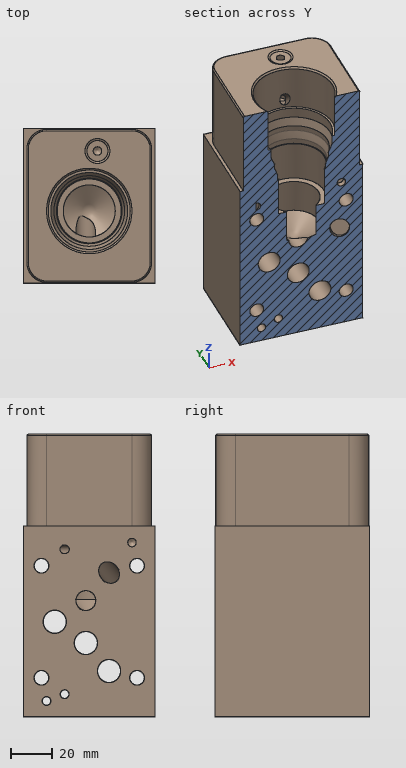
import cadquery as cq
import math

BLOCK_X = 63.5
BLOCK_Y = 74.7
BLOCK_Z = 92.2
TOTAL_Z = 136.5
TOWER_X = 60.2
TOWER_Y = 73.9
TOWER_CORNER_R = 9.5
TOWER_CHAMFER = 0.7
FRONT_Y = -BLOCK_Y / 2

DOWN = (0, 0, -1)
INWARD = (0, 1, 0)

CAVITY_Y = -2.5
CAVITY_CHAMFER = 0.8
MOUTH_R = 19.8
MOUTH_DEPTH = 23.3
SEAT_R = 18.5
MIDDLE_R = 17.0
LOWER_R = 15.8
GUIDE_R = 15.4
NOSE_R = 12.5
SEAT_DEPTH = 28.7
MIDDLE_DEPTH = 35.5
LEAD_LENGTH = 4.1
GUIDE_DEPTH = 42.3
SHELF_DEPTH = 62.8
NOSE_DEPTH = 80.0
DRILL_TIP_ANGLE = 120.0

PATTERN_Z = 45.9
BOLT_X = 23.1
BOLT_Z_OFFSET = 27.0
BOLT_D = 7.0
PORT_D = 11.0
PRESSURE_X = -1.6
PRESSURE_Z_OFFSET = 10.2
TANK_X = 9.5
TANK_Z_OFFSET = 23.8
SIDE_PORT_X = -16.7
PILOT_D = 4.1
PILOT_X = -11.9
PILOT_Z_OFFSET = 35.0
DRAIN_X = 20.6
DRAIN_Z_OFFSET = 38.2
DRAIN_DEPTH = 27.3
PRESSURE_D = 9.5
TANK_D = 9.3
TANK_TILT = 33.0
TANK_LEAN = 39.0
TANK_DEPTH = 34.1
PILOT_TILT = 25.0
PILOT_DEPTH = 27.3

GAUGE_X = 4.0
GAUGE_Y = 26.5
PLUG_R = 5.0
PLUG_LENGTH = 12.3
PORT_RIM_R = 6.0
PLUG_RECESS = 0.4
PLUG_HOLE_D = 4.1
PLUG_HOLE_DEPTH = 5.5
CROSS_D = 5.0
CROSS_DEPTH = 18.5
CROSS_TILT = 40.0


def tip_height(radius):
    """Height of a conical drill tip of the given radius."""
    return radius / math.tan(math.radians(DRILL_TIP_ANGLE / 2))


def drilling(start, direction, diameter, length):
    """Flat-ended cylinder running from start along direction."""
    return cq.Solid.makeCylinder(diameter / 2, length, cq.Vector(*start), cq.Vector(*direction))


def blind_drilling(start, direction, diameter, length):
    """Cylinder with a conical drill tip beyond its length."""
    radius = diameter / 2
    axis = cq.Vector(*direction).normalized()
    tip_base = cq.Vector(*start) + axis * length
    tip = cq.Solid.makeCone(radius, 0, tip_height(radius), tip_base, axis)
    return drilling(start, direction, diameter, length).fuse(tip)


def outer_shape():
    block = cq.Workplane("XY").box(BLOCK_X, BLOCK_Y, BLOCK_Z, centered=(True, True, False))
    tower = (
        cq.Workplane("XY")
        .workplane(offset=BLOCK_Z)
        .rect(TOWER_X, TOWER_Y)
        .extrude(TOTAL_Z - BLOCK_Z)
        .edges("|Z")
        .fillet(TOWER_CORNER_R)
        .faces(">Z")
        .chamfer(TOWER_CHAMFER)
    )
    return block.union(tower)


def cavity():
    """Half profile as (radius, depth) points, turned about the cavity axis."""
    profile = [
        (0, 0),
        (MOUTH_R + CAVITY_CHAMFER, 0),
        (MOUTH_R, CAVITY_CHAMFER),
        (MOUTH_R, MOUTH_DEPTH),
        (SEAT_R, MOUTH_DEPTH),
        (SEAT_R, SEAT_DEPTH),
        (MIDDLE_R, SEAT_DEPTH + LEAD_LENGTH),
        (MIDDLE_R, MIDDLE_DEPTH),
        (LOWER_R, MIDDLE_DEPTH + LEAD_LENGTH),
        (LOWER_R, GUIDE_DEPTH),
        (GUIDE_R, GUIDE_DEPTH),
        (GUIDE_R, SHELF_DEPTH),
        (NOSE_R, SHELF_DEPTH),
        (NOSE_R, NOSE_DEPTH),
        (0, NOSE_DEPTH + tip_height(NOSE_R)),
    ]
    return (
        cq.Workplane("XZ", origin=(0, CAVITY_Y, TOTAL_Z))
        .polyline([(radius, -depth) for radius, depth in profile])
        .close()
        .revolve(360, (0, 0, 0), (0, 1, 0))
    )


def through_holes():
    """Mounting holes and ports that run straight through from front to back."""
    holes = [(x, PATTERN_Z + dz, BOLT_D) for x in (-BOLT_X, BOLT_X) for dz in (-BOLT_Z_OFFSET, BOLT_Z_OFFSET)]
    holes += [
        (SIDE_PORT_X, PATTERN_Z, PORT_D),
        (PRESSURE_X, PATTERN_Z - PRESSURE_Z_OFFSET, PORT_D),
        (TANK_X, PATTERN_Z - TANK_Z_OFFSET, PORT_D),
        (PILOT_X, PATTERN_Z - PILOT_Z_OFFSET, PILOT_D),
        (-DRAIN_X, PATTERN_Z - DRAIN_Z_OFFSET, PILOT_D),
    ]
    return [drilling((x, FRONT_Y, z), INWARD, diameter, BLOCK_Y) for x, z, diameter in holes]


def pressure_drilling():
    """Straight drilling from the front face to the cavity axis, opening into the nose cone."""
    start = (PRESSURE_X, FRONT_Y, PATTERN_Z + PRESSURE_Z_OFFSET)
    return drilling(start, INWARD, PRESSURE_D, CAVITY_Y - FRONT_Y)


def tilted_drilling(x, z, direction, diameter, depth):
    """Tilted drilling through the front face, begun one diameter outside so that it cuts a full ellipse."""
    axis = cq.Vector(*direction)
    start = cq.Vector(x, FRONT_Y, z) - axis * diameter
    return drilling(start.toTuple(), direction, diameter, depth + diameter)


def tank_drilling():
    """Drilling that descends from the front face towards +X."""
    tilt = math.radians(TANK_TILT)
    lean = math.radians(TANK_LEAN)
    direction = (math.sin(tilt) * math.sin(lean), math.cos(tilt), -math.sin(tilt) * math.cos(lean))
    return tilted_drilling(TANK_X, PATTERN_Z + TANK_Z_OFFSET, direction, TANK_D, TANK_DEPTH)


def pilot_drilling():
    """Blind drilling that leans towards -X."""
    tilt = math.radians(PILOT_TILT)
    direction = (-math.sin(tilt), math.cos(tilt), 0)
    return tilted_drilling(PILOT_X, PATTERN_Z + PILOT_Z_OFFSET, direction, PILOT_D, PILOT_DEPTH)


def drain_drilling():
    """Straight blind drilling with a conical end."""
    start = (DRAIN_X, FRONT_Y, PATTERN_Z + DRAIN_Z_OFFSET)
    return blind_drilling(start, INWARD, PILOT_D, DRAIN_DEPTH)


def cross_passage():
    """Passage that falls from the cavity mouth wall to the gauge port axis, started one diameter early."""
    run = cq.Vector(GAUGE_X, GAUGE_Y - CAVITY_Y, 0)
    opening = cq.Vector(0, CAVITY_Y, TOTAL_Z - CROSS_DEPTH) + run.normalized() * MOUTH_R
    level_length = run.Length - MOUTH_R
    direction = run.normalized() - cq.Vector(0, 0, math.tan(math.radians(CROSS_TILT)))
    start = opening - direction.normalized() * CROSS_D
    return drilling(start.toTuple(), direction.toTuple(), CROSS_D, level_length * direction.Length + CROSS_D)


def gauge_port():
    """Chamfered plug seat, and a narrower drilling below it that reaches the cross passage."""
    top = (GAUGE_X, GAUGE_Y, TOTAL_Z)
    cross_drop = (math.hypot(GAUGE_X, GAUGE_Y - CAVITY_Y) - MOUTH_R) * math.tan(math.radians(CROSS_TILT))
    chamfer = cq.Solid.makeCone(PORT_RIM_R, PLUG_R, PLUG_RECESS, cq.Vector(*top), cq.Vector(*DOWN))
    seat = drilling(top, DOWN, 2 * PLUG_R, PLUG_RECESS + PLUG_LENGTH)
    shaft = drilling(top, DOWN, CROSS_D, CROSS_DEPTH + cross_drop)
    return [chamfer, seat, shaft]


def make_manifold():
    cuts = [
        *through_holes(),
        pressure_drilling(),
        tank_drilling(),
        pilot_drilling(),
        drain_drilling(),
        *gauge_port(),
        cross_passage(),
    ]
    manifold = outer_shape().cut(cavity())
    for tool in cuts:
        manifold = manifold.cut(cq.Workplane(obj=tool))
    return manifold


def make_plug():
    """Round plug that fills the gauge port seat, with a blind hole in its top."""
    top = (GAUGE_X, GAUGE_Y, TOTAL_Z - PLUG_RECESS)
    body = drilling(top, DOWN, 2 * PLUG_R, PLUG_LENGTH)
    hole = blind_drilling(top, DOWN, PLUG_HOLE_D, PLUG_HOLE_DEPTH)
    return cq.Workplane(obj=body).cut(cq.Workplane(obj=hole))


manifold = make_manifold()
plug = make_plug()
result = cq.Compound.makeCompound([manifold.solids().val(), plug.solids().val()])